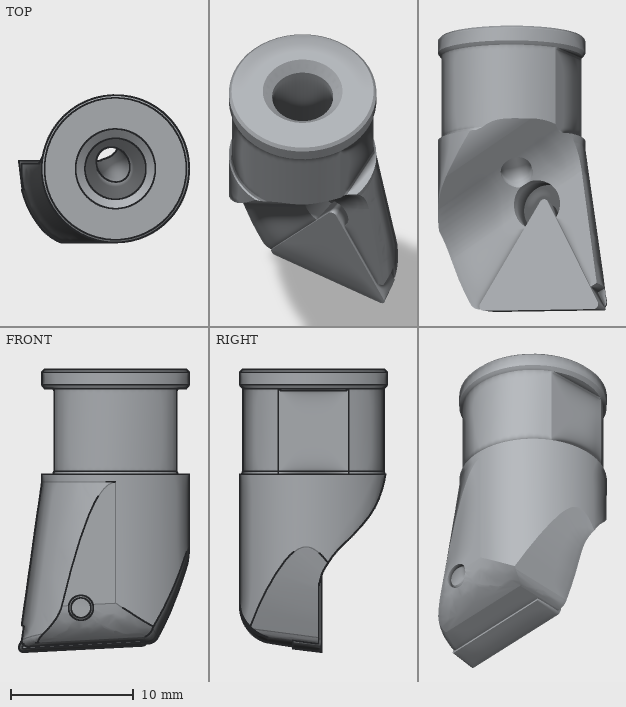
import cadquery as cq
import math

TOTAL_HEIGHT = 23
HEAD_RADIUS = 6.0

FLANGE_HEIGHT = 1.56
FLANGE_TOP_CHAMFER = 0.23
FLANGE_LOWER_CHAMFER = 0.3
NECK_RADIUS = 5.75
NECK_HALF_WIDTH = 5.0
SHOULDER_Z = 14.5
NECK_FOOT_HEIGHT = 0.23
NECK_FOOT_FLARE = 0.1
FLAT_RUNOUT_HEIGHT = 0.15
FLAT_RUNOUT_FLARE = 0.1

BORE_RADIUS = 2.48
BORE_BOTTOM_Z = 14.12
BORE_MOUTH_CHAMFER = 0.75
BORE_BOTTOM_SLOPE = 20
COOLANT_RADIUS = 1.29
COOLANT_POINT = (-0.2, 0.37, 13.68)
COOLANT_DIRECTION = (-0.42, 0.58, -1.0)
COOLANT_RUN_IN = 1.85
COOLANT_LENGTH = 8.05

FLANK_TOP_Z = 13.85
FLANK_ANGLE = 8
FLANK_EDGE_RADIUS = 0.5

INSERT_X = -2.8
INSERT_INRADIUS = 3.17
INSERT_NOSE_RADIUS = 0.4
INSERT_THICKNESS = 2.37
INSERT_CLEARANCE = 7
INSERT_TILT = 3
INSERT_TOP_Y = 0.67

TIP_RELIEF_OFFSET = 3.3
APEX_RELIEF_X = -2.42
APEX_RELIEF_Z = 8.97
APEX_RELIEF_RADIUS = 2.0

PIN_X = INSERT_X
PIN_Z = 3.6
PIN_RADIUS = 1.01
PIN_CHAMFER = 0.2
PIN_RECESS = 0.2

FLOOR_Y = 0.41
FLUTE_TILT = 30
FLUTE_SLOPE = 30
FLUTE_ROOT_RADIUS = 4.0
FLUTE_ROOT_HEIGHT = 6.85
FLUTE_LIP_RADIUS = 3.0
FLUTE_LIP_Y = 4.53

UNDERSIDE_CLEARANCE = 7.5
UNDERSIDE_OFFSET = 0.12
SIDE_LEAN = 0.08
SIDE_ARC_RADIUS = 24.15
SIDE_ARC_X = -17.66
SIDE_ARC_Z = 12.85
CORNER_RADIUS = 1.04
BACK_ROUND_RADIUS = 3.0


def sin(angle):
    return math.sin(math.radians(angle))


def cos(angle):
    return math.cos(math.radians(angle))


def tan(angle):
    return math.tan(math.radians(angle))


FLANGE_Z = TOTAL_HEIGHT - FLANGE_HEIGHT
SEAT_Y = INSERT_TOP_Y - INSERT_THICKNESS
NOSE_DISTANCE = 2 * (INSERT_INRADIUS - INSERT_NOSE_RADIUS)
INSERT_Z = INSERT_NOSE_RADIUS + NOSE_DISTANCE * sin(30 + INSERT_TILT)
REACH = 2 * TOTAL_HEIGHT


def on_circle(centre, radius, angle):
    return (centre[0] + radius * cos(angle), centre[1] + radius * sin(angle))


def turned(points):
    """Solid of revolution about Z from (radius, z) points."""
    return cq.Workplane("XZ").polyline(points).close().revolve(360, (0, 0), (0, 1))


def oblique_prism(outline, vector):
    """Prism of a closed outline along a vector that need not be square to it."""
    return cq.Workplane(cq.Solid.extrudeLinear(outline.val(), [], cq.Vector(*vector)))


def make_flange():
    return turned(
        [
            (0, FLANGE_Z),
            (NECK_RADIUS, FLANGE_Z),
            (HEAD_RADIUS, FLANGE_Z + FLANGE_LOWER_CHAMFER),
            (HEAD_RADIUS, TOTAL_HEIGHT - FLANGE_TOP_CHAMFER),
            (HEAD_RADIUS - FLANGE_TOP_CHAMFER, TOTAL_HEIGHT),
            (0, TOTAL_HEIGHT),
        ]
    )


def neck_outline(z, radius, half_width):
    """Round outline with two flats that face -X and +X."""
    flat_y = math.sqrt(radius**2 - half_width**2)
    return (
        cq.Workplane("XY", origin=(0, 0, z))
        .moveTo(half_width, -flat_y)
        .lineTo(half_width, flat_y)
        .threePointArc((0, radius), (-half_width, flat_y))
        .lineTo(-half_width, -flat_y)
        .threePointArc((0, -radius), (half_width, -flat_y))
        .close()
    )


def taper_angle(flare, height):
    return math.degrees(math.atan(flare / height))


def make_neck():
    """Neck with a flared foot all round and flats that slope out below the flange."""
    neck = neck_outline(SHOULDER_Z, NECK_RADIUS, NECK_HALF_WIDTH).extrude(FLANGE_Z - SHOULDER_Z)
    foot = neck_outline(SHOULDER_Z, NECK_RADIUS + NECK_FOOT_FLARE, NECK_HALF_WIDTH + NECK_FOOT_FLARE).extrude(
        NECK_FOOT_HEIGHT, taper=taper_angle(NECK_FOOT_FLARE, NECK_FOOT_HEIGHT)
    )
    runout = neck_outline(FLANGE_Z, NECK_RADIUS, NECK_HALF_WIDTH + FLAT_RUNOUT_FLARE).extrude(
        -FLAT_RUNOUT_HEIGHT, taper=taper_angle(FLAT_RUNOUT_FLARE, FLAT_RUNOUT_HEIGHT)
    )
    return neck.union(foot).union(runout)


def make_bore():
    return turned(
        [
            (0, TOTAL_HEIGHT),
            (BORE_RADIUS + BORE_MOUTH_CHAMFER, TOTAL_HEIGHT),
            (BORE_RADIUS, TOTAL_HEIGHT - BORE_MOUTH_CHAMFER),
            (BORE_RADIUS, BORE_BOTTOM_Z),
            (0, BORE_BOTTOM_Z - BORE_RADIUS * tan(BORE_BOTTOM_SLOPE)),
        ]
    )


def make_coolant_hole():
    direction = cq.Vector(*COOLANT_DIRECTION).normalized()
    start = cq.Vector(*COOLANT_POINT) - direction * COOLANT_RUN_IN
    return cq.Workplane(cq.Solid.makeCylinder(COOLANT_RADIUS, COOLANT_LENGTH, start, direction))


def make_head_blank():
    """Round head, widened by a cone on its -X half and flat at the back of that half."""
    round_head = cq.Workplane("XY").circle(HEAD_RADIUS).extrude(SHOULDER_Z)
    foot_radius = HEAD_RADIUS + FLANK_TOP_Z * tan(FLANK_ANGLE)
    cone = turned([(0, 0), (foot_radius, 0), (HEAD_RADIUS, FLANK_TOP_Z), (0, FLANK_TOP_Z)])
    flank_zone = (
        cq.Workplane("XY")
        .moveTo(0, -HEAD_RADIUS)
        .lineTo(0, HEAD_RADIUS)
        .lineTo(-REACH, HEAD_RADIUS)
        .lineTo(-REACH, -HEAD_RADIUS)
        .close()
        .extrude(FLANK_TOP_Z)
    )
    return round_head.union(cone.intersect(flank_zone))


def underside_z(x, y):
    """Height of the sloping underside, which runs parallel to the insert's lower edge."""
    below_centre = INSERT_INRADIUS / cos(INSERT_TILT) - (x - INSERT_X) * tan(INSERT_TILT)
    return INSERT_Z - below_centre + UNDERSIDE_OFFSET + (INSERT_TOP_Y - y) * tan(UNDERSIDE_CLEARANCE)


def make_side_envelope():
    """Space above the underside and inside the curved +X side, both closing in towards -Y."""
    front_y = HEAD_RADIUS
    rise = tan(UNDERSIDE_CLEARANCE)
    lead = front_y - INSERT_TOP_Y
    arc_centre = (SIDE_ARC_X, SIDE_ARC_Z)
    inner = SIDE_ARC_RADIUS - CORNER_RADIUS
    line_z = underside_z(SIDE_ARC_X, INSERT_TOP_Y) + CORNER_RADIUS / cos(INSERT_TILT)
    touch_angle = INSERT_TILT - math.degrees(math.asin((SIDE_ARC_Z - line_z) * cos(INSERT_TILT) / inner))
    corner = on_circle(arc_centre, inner, touch_angle)
    lower_touch = on_circle(corner, CORNER_RADIUS, INSERT_TILT - 90)
    outline = (
        cq.Workplane("XZ", origin=(lead * SIDE_LEAN, front_y, -lead * rise))
        .moveTo(-REACH, underside_z(-REACH, INSERT_TOP_Y))
        .lineTo(*lower_touch)
        .threePointArc(
            on_circle(corner, CORNER_RADIUS, (INSERT_TILT - 90 + touch_angle) / 2),
            on_circle(arc_centre, SIDE_ARC_RADIUS, touch_angle),
        )
        .threePointArc(
            on_circle(arc_centre, SIDE_ARC_RADIUS, touch_angle / 2),
            on_circle(arc_centre, SIDE_ARC_RADIUS, 0),
        )
        .lineTo(SIDE_ARC_X + SIDE_ARC_RADIUS, REACH)
        .lineTo(-REACH, REACH)
        .close()
    )
    return oblique_prism(outline, (-REACH * SIDE_LEAN, -REACH, REACH * rise))


def make_back_round():
    """Waste outside the large round between the underside and the back of the head."""
    start_x = -REACH / 2
    corner_z = underside_z(start_x, -HEAD_RADIUS)
    tangent = BACK_ROUND_RADIUS * tan((90 - UNDERSIDE_CLEARANCE) / 2)
    centre = (BACK_ROUND_RADIUS - HEAD_RADIUS, corner_z + tangent)
    lower_angle = 270 - UNDERSIDE_CLEARANCE
    outline = (
        cq.Workplane("YZ", origin=(start_x, 0, 0))
        .moveTo(-HEAD_RADIUS, centre[1])
        .threePointArc(
            on_circle(centre, BACK_ROUND_RADIUS, (180 + lower_angle) / 2),
            on_circle(centre, BACK_ROUND_RADIUS, lower_angle),
        )
        .lineTo(-HEAD_RADIUS, corner_z - HEAD_RADIUS)
        .lineTo(-REACH, corner_z - HEAD_RADIUS)
        .lineTo(-REACH, centre[1])
        .close()
    )
    return oblique_prism(outline, (REACH, 0, REACH * tan(INSERT_TILT)))


def make_head():
    head = make_head_blank().intersect(make_side_envelope())
    mid_y = -HEAD_RADIUS / 2
    flank_foot = (-HEAD_RADIUS, mid_y, underside_z(-HEAD_RADIUS, mid_y))
    head = head.edges(cq.selectors.NearestToPointSelector(flank_foot)).fillet(FLANK_EDGE_RADIUS)
    return head.cut(make_back_round())


def make_flute():
    """Space of the chip flute, swept along a line that falls towards +X."""
    root = (FLOOR_Y + FLUTE_ROOT_RADIUS, FLUTE_ROOT_HEIGHT)
    root_end = on_circle(root, FLUTE_ROOT_RADIUS, 90 + FLUTE_SLOPE)
    lip_start = (FLUTE_LIP_Y, root_end[1] + (FLUTE_LIP_Y - root_end[0]) * tan(FLUTE_SLOPE))
    lip = on_circle(lip_start, FLUTE_LIP_RADIUS, 90 + FLUTE_SLOPE)
    lip_end = on_circle(lip, FLUTE_LIP_RADIUS, 0)
    plane = cq.Plane(origin=(0, 0, 0), xDir=(0, 1, 0), normal=(cos(FLUTE_TILT), 0, -sin(FLUTE_TILT)))
    return (
        cq.Workplane(plane)
        .moveTo(FLOOR_Y, -REACH)
        .lineTo(FLOOR_Y, FLUTE_ROOT_HEIGHT)
        .threePointArc(on_circle(root, FLUTE_ROOT_RADIUS, 135 + FLUTE_SLOPE / 2), root_end)
        .lineTo(*lip_start)
        .threePointArc(on_circle(lip, FLUTE_LIP_RADIUS, (FLUTE_SLOPE - 90) / 2), lip_end)
        .lineTo(REACH, lip_end[1])
        .lineTo(REACH, -REACH)
        .close()
        .extrude(REACH, both=True)
    )


def insert_plane(y, turn):
    """Plane facing -Y at the insert centre, with its x axis turned from +X towards +Z."""
    return cq.Plane(origin=(INSERT_X, y, INSERT_Z), xDir=(cos(turn), 0, sin(turn)), normal=(0, -1, 0))


def rounded_triangle(y, nose_radius):
    corners = [on_circle((0, 0), NOSE_DISTANCE, angle) for angle in (90, 210, 330)]
    return cq.Workplane(insert_plane(y, INSERT_TILT)).polyline(corners).close().offset2D(nose_radius).val()


def make_insert_blank():
    shrink = INSERT_THICKNESS * tan(INSERT_CLEARANCE)
    face = rounded_triangle(INSERT_TOP_Y, INSERT_NOSE_RADIUS)
    base = rounded_triangle(SEAT_Y, INSERT_NOSE_RADIUS - shrink)
    return cq.Workplane(cq.Solid.makeLoft([face, base], True))


def make_tip_relief():
    """Clears the head away beside the insert tip, square to the insert's left edge."""
    inner_edge = INSERT_INRADIUS / 2
    return (
        cq.Workplane(insert_plane(SEAT_Y, INSERT_TILT + 60))
        .moveTo(-TIP_RELIEF_OFFSET, inner_edge)
        .lineTo(-TIP_RELIEF_OFFSET, REACH)
        .lineTo(-REACH, REACH)
        .lineTo(-REACH, inner_edge)
        .close()
        .extrude(-INSERT_THICKNESS)
    )


def make_apex_relief():
    """Round clearance above the insert's upper corner, cut down to the seat."""
    return (
        cq.Workplane("XZ", origin=(APEX_RELIEF_X, SEAT_Y, APEX_RELIEF_Z))
        .circle(APEX_RELIEF_RADIUS)
        .extrude(-INSERT_THICKNESS - HEAD_RADIUS)
    )


def pin_cylinder(back_y):
    """Cylinder of the pin from the insert's face back to the given Y."""
    return (
        cq.Workplane("XZ", origin=(PIN_X, INSERT_TOP_Y, PIN_Z))
        .circle(PIN_RADIUS)
        .extrude(INSERT_TOP_Y - back_y)
    )


def make_holder():
    holder = make_flange().union(make_neck()).union(make_head())
    pin_hole = pin_cylinder(-HEAD_RADIUS)
    wastes = [
        make_bore(),
        make_flute(),
        make_coolant_hole(),
        make_insert_blank(),
        make_tip_relief(),
        make_apex_relief(),
        pin_hole,
    ]
    for waste in wastes:
        holder = holder.cut(waste)
    return holder


def make_insert():
    return make_insert_blank().cut(pin_cylinder(-HEAD_RADIUS))


def make_pin():
    return pin_cylinder(PIN_RECESS - HEAD_RADIUS).faces("<Y").chamfer(PIN_CHAMFER)


holder = make_holder()
insert = make_insert()
pin = make_pin()

result = cq.Compound.makeCompound([body.solids().val() for body in (holder, insert, pin)])